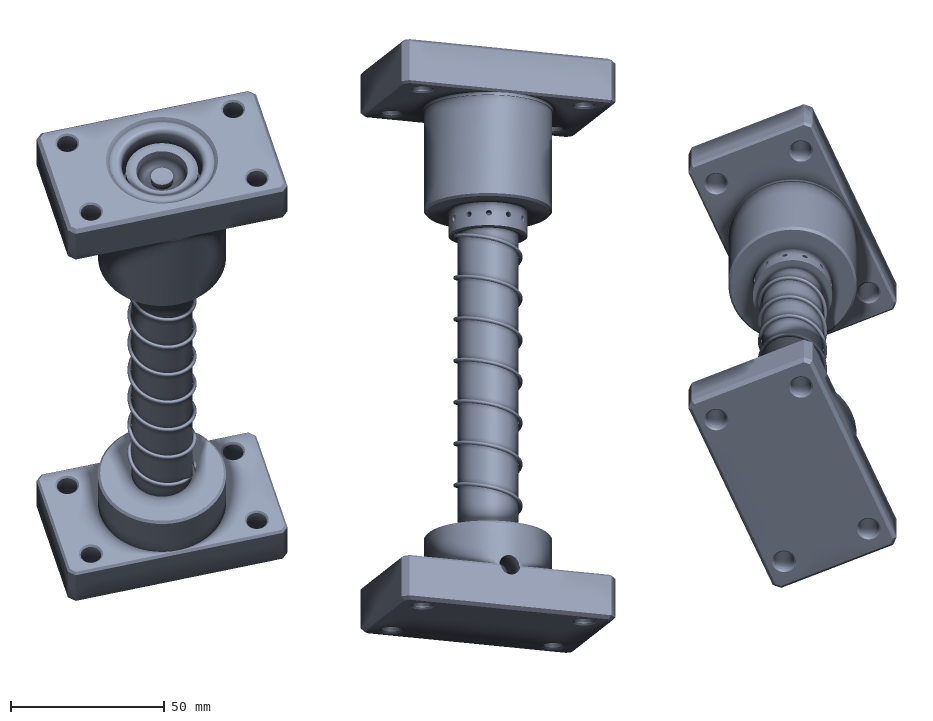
import cadquery as cq
total_height = 190.3
plate_turn = -126.7

plate_length = 74.0
plate_width = 44.0
plate_thickness = 15.0
plate_corner = 2.0
plate_chamfer = 1.1
plate_boss_side_chamfer = 0.8
bolt_spacing_long = 56.0
bolt_spacing_short = 30.0
bolt_hole_diameter = 6.7
bolt_hole_chamfer = 0.5

boss_radius = 21.0
boss_rim_chamfer = 0.8
lower_boss_height = 15.0
upper_boss_height = 35.0
collar_radius = 21.3
collar_height = 1.0

post_radius = 10.0
side_hole_diameter = 6.9
side_hole_height = plate_thickness

badge_diameter = 8.4
badge_thickness = 1.0

bush_radius = 17.1
bush_bore_radius = 13.1
bush_mouth_fillet = 1.9

cage_radius = 13.0
cage_overhang = 7.8
pocket_count = 12
pocket_diameter = 1.9
pocket_turn = -85.0
pocket_height = 4.2

cap_radius = 11.8
cap_recess = 5.5
cap_thickness = 6.9
dish_radius = 8.4
dish_floor_radius = 7.5
dish_depth = 5.1
dish_fillet = 2.5
screw_radius = 3.6
screw_head_rise = 2.5
screw_length = 11.5

wire_radius = 0.63
spring_gap = 0.04
spring_pitch = 14.0
spring_turn = 90.0
spring_start_height = 144.2

upper_plate_level = total_height - plate_thickness
lower_boss_top = plate_thickness + lower_boss_height
upper_boss_bottom = upper_plate_level - upper_boss_height
bush_top = total_height - plate_chamfer
cage_bottom = upper_boss_bottom - cage_overhang
cap_top = total_height - cap_recess
post_top = cap_top - cap_thickness
dish_floor = cap_top - dish_depth
screw_top = dish_floor + screw_head_rise


def cylinder(radius, bottom, top):
    return cq.Workplane("XY").workplane(offset=bottom).circle(radius).extrude(top - bottom)


def turned(body):
    """Turn a body that was built along the plates' own axes to its final direction."""
    return body.rotate((0, 0, 0), (0, 0, 1), plate_turn)


def make_plate():
    """Plate lying on the base level, with bevelled corners, chamfered rims and four bolt holes."""
    plate = (
        cq.Workplane("XY")
        .rect(plate_length, plate_width)
        .extrude(plate_thickness)
        .edges("|Z")
        .chamfer(plate_corner)
        .faces("<Z")
        .chamfer(plate_chamfer)
        .faces(">Z")
        .chamfer(plate_boss_side_chamfer)
    )
    plate = (
        plate.faces(">Z")
        .workplane(origin=(0, 0, plate_thickness))
        .rect(bolt_spacing_long, bolt_spacing_short, forConstruction=True)
        .vertices()
        .hole(bolt_hole_diameter)
    )
    return plate.edges("%CIRCLE").chamfer(bolt_hole_chamfer)


def make_boss(height):
    """Boss with a chamfered rim, standing on a plate."""
    boss = cylinder(boss_radius, plate_thickness, plate_thickness + height)
    return boss.faces(">Z").edges().chamfer(boss_rim_chamfer)


def side_hole():
    """Radial drilling through the plate's edge and the boss, as far as the post."""
    drill = (
        cq.Workplane("XZ", origin=(0, 0, side_hole_height))
        .circle(side_hole_diameter / 2)
        .extrude(plate_width / 2)
    )
    return drill.cut(cylinder(post_radius, 0, total_height))


def make_lower_holder():
    holder = make_plate().union(make_boss(lower_boss_height)).cut(side_hole())
    return turned(holder.cut(cylinder(post_radius, plate_thickness, lower_boss_top)))


def badge_shape():
    """Disc flush with the middle of the upper plate's long side."""
    middle = total_height - plate_thickness / 2
    return (
        cq.Workplane("XZ", origin=(0, badge_thickness - plate_width / 2, middle))
        .circle(badge_diameter / 2)
        .extrude(badge_thickness)
    )


def make_upper_holder():
    """Holder hanging upside down, with a through bore for the bush and a recess for the badge."""
    holder = make_plate().union(make_boss(upper_boss_height))
    holder = holder.union(cylinder(collar_radius, plate_thickness, plate_thickness + collar_height))
    holder = holder.rotate((0, 0, 0), (1, 0, 0), 180).translate((0, 0, total_height))
    holder = holder.cut(cylinder(bush_radius, upper_boss_bottom, total_height))
    bore_mouth = cq.selectors.RadiusNthSelector(-1)
    holder = holder.faces(">Z").edges(bore_mouth).chamfer(plate_chamfer)
    return turned(holder.cut(badge_shape()))


def make_bush():
    """Plain sleeve with a rounded upper mouth."""
    bush = cylinder(bush_radius, upper_boss_bottom, bush_top)
    bush = bush.cut(cylinder(bush_bore_radius, upper_boss_bottom, bush_top))
    mouth = cq.selectors.RadiusNthSelector(0)
    return turned(bush.faces(">Z").edges(mouth).fillet(bush_mouth_fillet))


def make_cage():
    """Sleeve on the post with a row of radial ball pockets near its lower end."""
    cage = cylinder(cage_radius, cage_bottom, post_top)
    cage = cage.cut(cylinder(post_radius, cage_bottom, post_top))
    pocket = (
        cq.Workplane("YZ", origin=(post_radius, 0, cage_bottom + pocket_height))
        .circle(pocket_diameter / 2)
        .extrude(cage_radius - post_radius)
    )
    for index in range(pocket_count):
        cage = cage.cut(pocket.rotate((0, 0, 0), (0, 0, 1), index * 360 / pocket_count))
    return cage.rotate((0, 0, 0), (0, 0, 1), pocket_turn)


def screw_shape():
    return cylinder(screw_radius, screw_top - screw_length, screw_top)


def make_post():
    return cylinder(post_radius, plate_thickness, post_top).cut(screw_shape())


def make_cap():
    """Disc with a tapered dish that has a rounded floor and a hole for the screw."""
    dish = (
        cq.Workplane("XY")
        .workplane(offset=dish_floor)
        .circle(dish_floor_radius)
        .workplane(offset=dish_depth)
        .circle(dish_radius)
        .loft()
        .faces("<Z")
        .edges()
        .fillet(dish_fillet)
    )
    return turned(cylinder(cap_radius, post_top, cap_top).cut(dish).cut(screw_shape()))


def make_spring():
    """Left-handed coil with flat ground ends, from the lower boss to the cage."""
    coil_radius = post_radius + spring_gap + wire_radius
    helix_bottom = lower_boss_top - spring_pitch / 2
    helix_height = spring_start_height - helix_bottom
    helix = cq.Wire.makeHelix(spring_pitch, helix_height, coil_radius, lefthand=True)
    coil = cq.Workplane("XZ", origin=(coil_radius, 0, 0)).circle(wire_radius).sweep(helix, isFrenet=True)
    bottom_turn = spring_turn + 360 * helix_height / spring_pitch
    coil = coil.rotate((0, 0, 0), (0, 0, 1), bottom_turn).translate((0, 0, helix_bottom))
    return coil.intersect(cylinder(boss_radius, lower_boss_top, cage_bottom))


lower_holder = make_lower_holder()
upper_holder = make_upper_holder()
badge = turned(badge_shape())
bush = make_bush()
cage = make_cage()
post = make_post()
cap = make_cap()
screw = screw_shape()
spring = make_spring()

bodies = [lower_holder, upper_holder, badge, bush, cage, post, cap, screw, spring]
result = cq.Compound.makeCompound([body.val() for body in bodies])